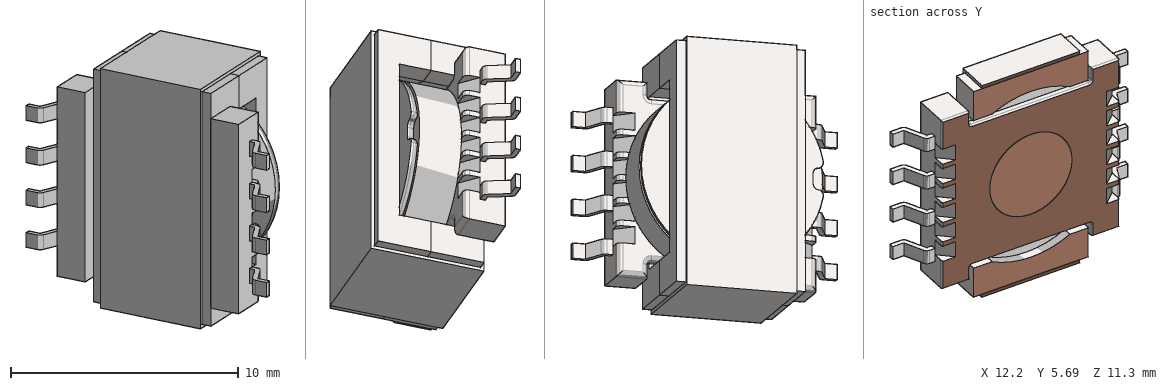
import cadquery as cq
import math


core_x = 5.95
core_z = 11.0
core_bottom = 0.52
core_top = 5.53
core_split = (core_bottom + core_top) / 2
window_height = 3.0
window_z = 7.86
window_bottom = core_split - window_height / 2
post_radius = 2.15
winding_clearance = 0.18

tape_x = 5.08
tape_thickness = 0.16

winding_radius = 4.23
winding_bottom = 2.07
winding_top = 4.05

base_bottom = 1.6
base_z = 7.42
block_inner_x = 3.18
block_outer_x = 4.6
block_bottom = 0.15
block_z = 8.95
base_corner_radius = 0.15
base_edge_radius = 0.25
tube_radius = 2.44
flange_thickness = 0.37
flange_top = winding_top + flange_thickness
flange_edge_radius = 0.25
notch_floor_x = 3.68
notch_width = 1.0
notch_corner_radius = 0.26
notch_mouth_radius = 0.26

groove_count = 6
groove_pitch = 1.04
groove_width = 0.78
groove_depth = 0.73
groove_run = 0.8

lead_count = 4
lead_pitch = 2.0
lead_width = 0.7
lead_thickness = 0.25
lead_tip_x = 6.1
lead_top = 1.34
foot_bend_x = 5.53
shoulder_bend_x = 4.87


def box(x_min, x_max, y_min, y_max, z_size):
    """Box centred on Z = 0 between the given X and Y limits."""
    size = (x_max - x_min, y_max - y_min, z_size)
    return cq.Workplane("XY").box(*size).translate(((x_min + x_max) / 2, (y_min + y_max) / 2, 0))


def disc(radius, y_min, y_max):
    """Cylinder around the Y axis."""
    return cq.Workplane("XZ", origin=(0, y_min, 0)).circle(radius).extrude(y_min - y_max)


def row(count, pitch):
    """Z positions of evenly spaced items centred on Z = 0."""
    return [(i - (count - 1) / 2) * pitch for i in range(count)]


def upright_edges(body, x, z):
    """Edges of the body that run along Y at (+-x, +-z)."""

    def stands_there(edge):
        middle = edge.Center()
        return math.isclose(abs(middle.x), x) and math.isclose(abs(middle.z), z)

    edges = body.edges("|Y").vals()
    return body.newObject([edge for edge in edges if stands_there(edge)])


def make_core_half(y_min, y_max):
    """The part of the core between two Y levels."""
    window_top = window_bottom + window_height
    window = box(-core_x / 2, core_x / 2, window_bottom, window_top, window_z)
    winding_space = disc(winding_radius + winding_clearance, window_bottom, window_top)
    post = disc(post_radius, window_bottom, window_top)
    opening = window.union(winding_space).cut(post)
    return box(-core_x / 2, core_x / 2, y_min, y_max, core_z).cut(opening)


def make_tape():
    """Rectangular sleeve wrapped around the closed core."""
    outer = box(
        -tape_x / 2,
        tape_x / 2,
        core_bottom - tape_thickness,
        core_top + tape_thickness,
        core_z + 2 * tape_thickness,
    )
    return outer.cut(box(-tape_x / 2, tape_x / 2, core_bottom, core_top, core_z))


def make_winding():
    """Plain ring of wire around the bobbin tube."""
    bore = disc(tube_radius, winding_bottom, winding_top)
    return disc(winding_radius, winding_bottom, winding_top).cut(bore)


def make_base():
    """Terminal blocks joined by a bar, with rounded upper edges."""
    base = box(-block_inner_x, block_inner_x, base_bottom, winding_bottom, base_z)
    for x_min, x_max in ((-block_outer_x, -block_inner_x), (block_inner_x, block_outer_x)):
        base = base.union(box(x_min, x_max, block_bottom, winding_bottom, block_z))
    base = upright_edges(base, block_inner_x, base_z / 2).fillet(base_corner_radius)
    return base.faces(">Y").edges().fillet(base_edge_radius)


def make_flange():
    """Upper flange with a rounded wire notch on its -X side and a rounded lower edge."""
    flange = disc(winding_radius, winding_top, flange_top)
    flange = flange.cut(box(-winding_radius, -notch_floor_x, winding_top, flange_top, notch_width))
    flange = upright_edges(flange, notch_floor_x, notch_width / 2).fillet(notch_corner_radius)
    flange = flange.edges("|Y").edges("<X").fillet(notch_mouth_radius)
    return flange.faces("<Y").edges().fillet(flange_edge_radius)


def make_groove(z):
    """Ramp that slopes up from the outer face of the -X block to its top."""
    return (
        cq.Workplane("XY", origin=(0, 0, z - groove_width / 2))
        .moveTo(-block_outer_x, winding_bottom)
        .lineTo(-block_outer_x, winding_bottom - groove_depth)
        .lineTo(-block_outer_x + groove_run, winding_bottom)
        .close()
        .extrude(groove_width)
    )


def make_lead(z):
    """Gull-wing lead of the -X block: both bends are sharp inside and round outside."""
    foot_corner = (-foot_bend_x, lead_thickness)
    shoulder_corner = (-shoulder_bend_x, lead_top - lead_thickness)
    run = shoulder_corner[0] - foot_corner[0]
    rise = shoulder_corner[1] - foot_corner[1]
    slope = math.atan2(rise, run) + math.asin(lead_thickness / math.hypot(run, rise))

    def around(corner, angle):
        """Point one lead thickness from a corner."""
        return (
            corner[0] + lead_thickness * math.cos(angle),
            corner[1] + lead_thickness * math.sin(angle),
        )

    down = -math.pi / 2
    up = math.pi / 2
    foot_end = slope + down
    foot_middle = (down + foot_end) / 2
    shoulder_end = slope + up
    shoulder_middle = (up + shoulder_end) / 2
    return (
        cq.Workplane("XY", origin=(0, 0, z - lead_width / 2))
        .moveTo(-lead_tip_x, 0)
        .lineTo(-foot_bend_x, 0)
        .threePointArc(around(foot_corner, foot_middle), around(foot_corner, foot_end))
        .lineTo(*shoulder_corner)
        .lineTo(-block_outer_x, lead_top - lead_thickness)
        .lineTo(-block_outer_x, lead_top)
        .lineTo(-shoulder_bend_x, lead_top)
        .threePointArc(around(shoulder_corner, shoulder_middle), around(shoulder_corner, shoulder_end))
        .lineTo(*foot_corner)
        .lineTo(-lead_tip_x, lead_thickness)
        .close()
        .extrude(lead_width)
    )


def make_bobbin():
    """Base, tube, flange and leads in one piece, bored for the centre posts."""
    bobbin = make_base()
    for z in row(groove_count, groove_pitch):
        groove = make_groove(z)
        bobbin = bobbin.cut(groove).cut(groove.mirror("YZ"))
    bobbin = bobbin.union(disc(tube_radius, base_bottom, flange_top)).union(make_flange())
    for z in row(lead_count, lead_pitch):
        lead = make_lead(z)
        bobbin = bobbin.union(lead).union(lead.mirror("YZ"))
    return bobbin.cut(disc(post_radius, base_bottom, flange_top))


lower_core = make_core_half(core_bottom, core_split)
upper_core = make_core_half(core_split, core_top)
tape = make_tape()
winding = make_winding()
bobbin = make_bobbin()

result = cq.Compound.makeCompound(
    [lower_core.val(), upper_core.val(), tape.val(), winding.val(), bobbin.val()]
)